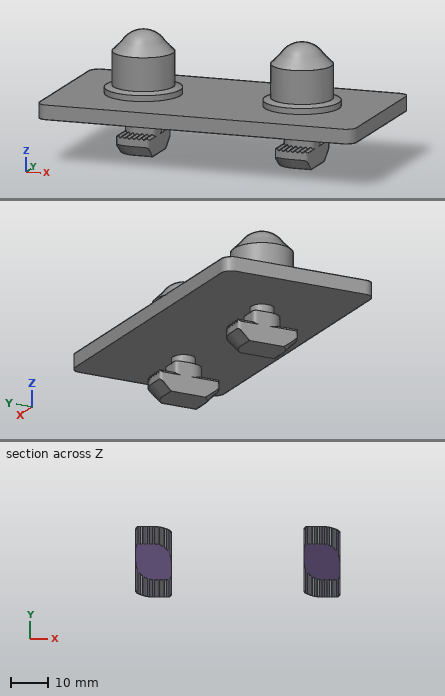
import cadquery as cq
import math

PLATE_LENGTH = 90.0
PLATE_WIDTH = PLATE_LENGTH / 2
PLATE_THICKNESS = 4.05
PLATE_CORNER_RADIUS = 3.0
BOLT_SPACING = PLATE_LENGTH / 2
BOLT_CENTERS = [(-BOLT_SPACING / 2, 0), (BOLT_SPACING / 2, 0)]

FLANGE_DIAMETER = 21.0
FLANGE_RIM_HEIGHT = 1.6
FLANGE_CONE_HEIGHT = 0.6

CAP_DIAMETER = 16.8
CAP_WALL_HEIGHT = 9.3
CAP_BEVEL = 2.5
DOME_HEIGHT = 3.3

SHANK_DIAMETER = 6.5
SHANK_EXPOSED_LENGTH = 2.8
HEAD_WIDTH = 9.6
HEAD_LENGTH = 18.9
NECK_HEIGHT = 3.2
NECK_CORNER_RADIUS = 1.2
HEAD_HEIGHT = 5.8
HEAD_BEVEL = 3.15
HEAD_CORNER_RADIUS = 1.0
TOOTH_COUNT = 7
TOOTH_PITCH = HEAD_WIDTH / TOOTH_COUNT
TOOTH_DEPTH = TOOTH_PITCH / 2

FLANGE_TOP = PLATE_THICKNESS + FLANGE_RIM_HEIGHT + FLANGE_CONE_HEIGHT
NECK_TOP = -SHANK_EXPOSED_LENGTH
HEAD_TOP = NECK_TOP - NECK_HEIGHT
HEAD_BOTTOM = HEAD_TOP - HEAD_HEIGHT


def make_plate():
    return (
        cq.Workplane("XY")
        .rect(PLATE_LENGTH, PLATE_WIDTH)
        .extrude(PLATE_THICKNESS)
        .edges("|Z")
        .fillet(PLATE_CORNER_RADIUS)
        .pushPoints(BOLT_CENTERS)
        .circle(SHANK_DIAMETER / 2)
        .cutThruAll()
    )


def make_flange():
    """Collar around the shank: straight rim, then a shallow cone up to the cap."""
    bore_radius = SHANK_DIAMETER / 2
    rim_radius = FLANGE_DIAMETER / 2
    rim_top = PLATE_THICKNESS + FLANGE_RIM_HEIGHT
    return (
        cq.Workplane("XZ")
        .moveTo(bore_radius, PLATE_THICKNESS)
        .lineTo(rim_radius, PLATE_THICKNESS)
        .lineTo(rim_radius, rim_top)
        .lineTo(CAP_DIAMETER / 2, FLANGE_TOP)
        .lineTo(bore_radius, FLANGE_TOP)
        .close()
        .revolve(360, (0, 0, 0), (0, 1, 0))
    )


def make_cap():
    """Cylinder with a 45 degree shoulder and a spherical dome."""
    cap_radius = CAP_DIAMETER / 2
    dome_base_radius = cap_radius - CAP_BEVEL
    wall_top = FLANGE_TOP + CAP_WALL_HEIGHT
    dome_base = wall_top + CAP_BEVEL
    cap_top = dome_base + DOME_HEIGHT
    sphere_radius = (dome_base_radius**2 + DOME_HEIGHT**2) / (2 * DOME_HEIGHT)
    half_angle = math.asin(dome_base_radius / sphere_radius) / 2
    arc_middle = (
        sphere_radius * math.sin(half_angle),
        cap_top - sphere_radius * (1 - math.cos(half_angle)),
    )
    return (
        cq.Workplane("XZ")
        .moveTo(0, FLANGE_TOP)
        .lineTo(cap_radius, FLANGE_TOP)
        .lineTo(cap_radius, wall_top)
        .lineTo(dome_base_radius, dome_base)
        .threePointArc(arc_middle, (0, cap_top))
        .close()
        .revolve(360, (0, 0, 0), (0, 1, 0))
    )


def half_turn_pair(half):
    """Join a shape with its copy turned 180 degrees about the bolt axis."""
    return half.union(half.rotate((0, 0, 0), (0, 0, 1), 180))


def make_neck():
    """Slot-wide neck: two opposite corners fully round, so it can turn, and two nearly square."""
    half_width = HEAD_WIDTH / 2
    neck_bottom = HEAD_TOP - TOOTH_DEPTH
    height = NECK_TOP - neck_bottom
    core = cq.Workplane("XY", origin=(0, 0, neck_bottom)).circle(half_width).extrude(height)
    stop_corner = (
        cq.Workplane("XY", origin=(0, 0, neck_bottom))
        .rect(half_width, -half_width, centered=False)
        .extrude(height)
        .edges("|Z and >X and <Y")
        .fillet(NECK_CORNER_RADIUS)
    )
    return core.union(half_turn_pair(stop_corner))


def head_profile():
    """Half of the head's lengthwise section in the YZ plane, bevelled at the bottom."""
    half_length = HEAD_LENGTH / 2
    return (
        cq.Workplane("YZ")
        .moveTo(0, HEAD_TOP)
        .lineTo(half_length, HEAD_TOP)
        .lineTo(half_length, HEAD_BOTTOM + HEAD_BEVEL)
        .lineTo(half_length - HEAD_BEVEL, HEAD_BOTTOM)
        .lineTo(0, HEAD_BOTTOM)
        .close()
    )


def make_head_outline():
    """Upright prism of the head's plan: a bar with two square and two round ends, corners softened."""
    half_width = HEAD_WIDTH / 2
    half_length = HEAD_LENGTH / 2
    round_end = math.sqrt(half_length**2 - half_width**2)
    half_angle = math.asin(half_width / half_length) / 2
    arc_x = half_length * math.sin(half_angle)
    arc_y = half_length * math.cos(half_angle)
    return (
        cq.Workplane("XY", origin=(0, 0, HEAD_BOTTOM))
        .moveTo(-half_width, half_length)
        .lineTo(0, half_length)
        .threePointArc((arc_x, arc_y), (half_width, round_end))
        .lineTo(half_width, -half_length)
        .lineTo(0, -half_length)
        .threePointArc((-arc_x, -arc_y), (-half_width, -round_end))
        .close()
        .extrude(HEAD_HEIGHT)
        .edges("|Z and (>X or <X)")
        .fillet(HEAD_CORNER_RADIUS)
    )


def make_tooth_grooves():
    """V-grooves along Y that leave a row of sharp teeth across the top of the head."""
    half_width = HEAD_WIDTH / 2
    valley = HEAD_TOP - TOOTH_DEPTH
    groove = (
        cq.Workplane("XZ")
        .moveTo(-TOOTH_PITCH / 2, HEAD_TOP)
        .lineTo(0, valley)
        .lineTo(TOOTH_PITCH / 2, HEAD_TOP)
        .close()
        .extrude(HEAD_LENGTH / 2, both=True)
    )
    return [
        groove.translate((-half_width + index * TOOTH_PITCH, 0, 0))
        for index in range(TOOTH_COUNT + 1)
    ]


def make_head():
    """Head whose square quadrants have flat bevels and whose round quadrants have conical ones."""
    square_quadrant = head_profile().extrude(-HEAD_WIDTH / 2)
    round_quadrant = head_profile().revolve(90, (0, 0, 0), (0, -1, 0))
    head = half_turn_pair(square_quadrant.union(round_quadrant)).intersect(make_head_outline())
    for groove in make_tooth_grooves():
        head = head.cut(groove)
    return head


def make_bolt():
    shank = (
        cq.Workplane("XY", origin=(0, 0, NECK_TOP))
        .circle(SHANK_DIAMETER / 2)
        .extrude(FLANGE_TOP - NECK_TOP)
    )
    return make_head().union(make_neck()).union(shank)


def place_at_bolts(body):
    """One separate solid of the body on each bolt axis."""
    return [body.translate((x, y, 0)).solids().val() for x, y in BOLT_CENTERS]


plate = make_plate()
bolts = place_at_bolts(make_bolt())
flanges = place_at_bolts(make_flange())
caps = place_at_bolts(make_cap())

result = cq.Compound.makeCompound([plate.solids().val(), *bolts, *flanges, *caps])